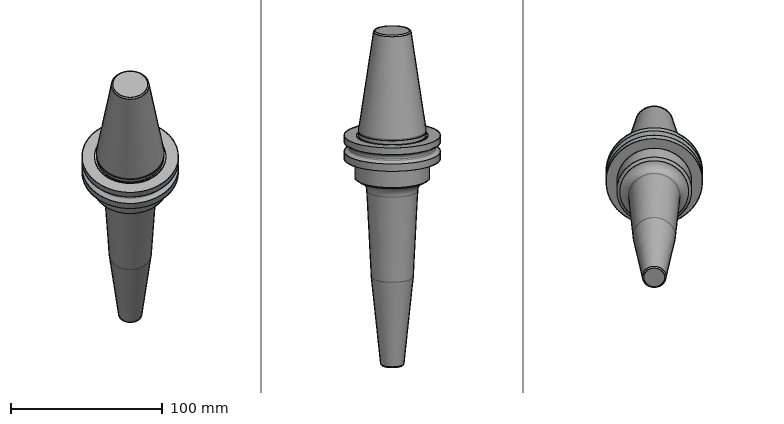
import cadquery as cq
import math

total_height = 228.5
nose_top = 60.3
neck_top = 119.2
collar_chamfer_bottom = 126.5
collar_chamfer_top = 128.0
flange_bottom = 141.0
flange_top = 157.0
gauge_height = 160.0

tip_radius = 7.8
nose_radius = 14.0
neck_radius = 17.0
collar_radius = 24.7
flange_radius = 31.7
gauge_radius = 22.4
taper_slope = 7 / 48
taper_top_radius = gauge_radius - (total_height - gauge_height) * taper_slope

end_chamfer = 1.0
collar_chamfer_width = 2.0

sweep_top_radius = collar_radius - collar_chamfer_width
sweep_mid_radius = 18.5
sweep_mid_height = 124.0

groove_floor_radius = 28.0
groove_floor_width = 2.7
groove_mouth_width = 6.5
groove_height = 149.1
groove_corner_radius = 1.0

gauge_band_height = 1.0
undercut_radius = gauge_radius - 0.2
recess_radius = 23.5
recess_depth = 0.5
band_bottom = gauge_height - gauge_band_height
recess_floor = flange_top - recess_depth


def make_body():
    """Revolve the half section around Z, without the flange groove."""
    return (
        cq.Workplane("XZ")
        .lineTo(tip_radius - end_chamfer, 0)
        .lineTo(tip_radius, end_chamfer)
        .lineTo(nose_radius, nose_top)
        .lineTo(neck_radius, neck_top)
        .threePointArc((sweep_mid_radius, sweep_mid_height), (sweep_top_radius, collar_chamfer_bottom))
        .lineTo(collar_radius, collar_chamfer_top)
        .lineTo(collar_radius, flange_bottom)
        .lineTo(flange_radius, flange_bottom)
        .lineTo(flange_radius, flange_top)
        .lineTo(recess_radius, flange_top)
        .lineTo(recess_radius, recess_floor)
        .lineTo(undercut_radius, recess_floor)
        .lineTo(undercut_radius, band_bottom)
        .lineTo(gauge_radius, band_bottom)
        .lineTo(gauge_radius, gauge_height)
        .lineTo(taper_top_radius, total_height - end_chamfer)
        .lineTo(taper_top_radius - end_chamfer, total_height)
        .lineTo(0, total_height)
        .close()
        .revolve(360, (0, 0, 0), (0, 1, 0))
    )


def make_groove_cutter():
    """Ring with a V section whose two floor corners are rounded."""
    depth = flange_radius - groove_floor_radius
    half_floor = groove_floor_width / 2
    half_mouth = groove_mouth_width / 2
    wall_rise = half_mouth - half_floor
    wall_angle = math.atan2(wall_rise, depth)

    turn = math.pi / 2 - wall_angle
    tangent_length = groove_corner_radius * math.tan(turn / 2)
    wall_start_radius = groove_floor_radius + tangent_length * math.cos(wall_angle)
    wall_start = half_floor + tangent_length * math.sin(wall_angle)
    floor_end = half_floor - tangent_length

    mid_angle = turn / 2
    arc_mid_radius = groove_floor_radius + groove_corner_radius * (1 - math.cos(mid_angle))
    arc_mid = floor_end + groove_corner_radius * math.sin(mid_angle)

    return (
        cq.Workplane("XZ", origin=(0, 0, groove_height))
        .moveTo(flange_radius, -half_mouth)
        .lineTo(wall_start_radius, -wall_start)
        .threePointArc((arc_mid_radius, -arc_mid), (groove_floor_radius, -floor_end))
        .lineTo(groove_floor_radius, floor_end)
        .threePointArc((arc_mid_radius, arc_mid), (wall_start_radius, wall_start))
        .lineTo(flange_radius, half_mouth)
        .close()
        .revolve(360, (0, 0, 0), (0, 1, 0))
    )


result = make_body().cut(make_groove_cutter())